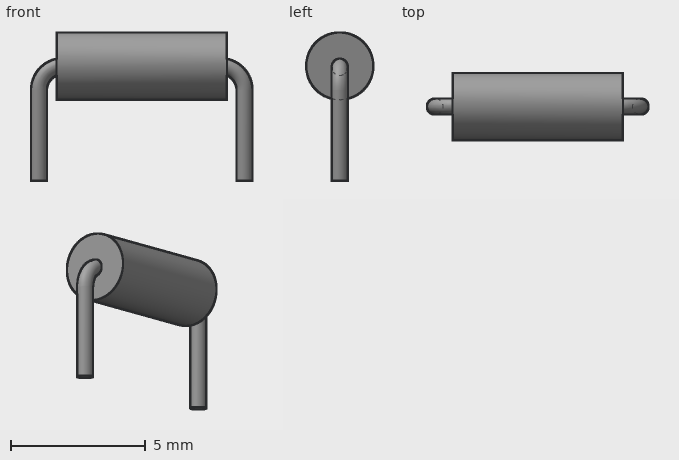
import cadquery as cq

body_diameter = 2.5
body_length = 6.3
lead_diameter = 0.6
lead_pitch = 7.62
lead_depth = 3.0
bend_radius = 0.9

axis_height = body_diameter / 2
lead_x = lead_pitch / 2
bend_start_height = axis_height - bend_radius


def make_body():
    """Cylinder along X, centred over the origin."""
    return (
        cq.Workplane("YZ", origin=(-body_length / 2, 0, axis_height))
        .circle(body_diameter / 2)
        .extrude(body_length)
    )


def make_lead(side):
    """Round wire on one side (-1 or +1): straight up, then a quarter bend into the body."""
    straight_length = lead_depth + bend_start_height
    straight = (
        cq.Workplane("XY", origin=(side * lead_x, 0, -lead_depth))
        .circle(lead_diameter / 2)
        .extrude(straight_length)
    )
    bend_centre = -side * bend_radius
    bend = (
        cq.Workplane("XY", origin=(side * lead_x, 0, bend_start_height))
        .circle(lead_diameter / 2)
        .revolve(90, (bend_centre, 0, 0), (bend_centre, -side, 0))
    )
    return straight.union(bend)


result = make_body()
for side in (-1, 1):
    result = result.union(make_lead(side))